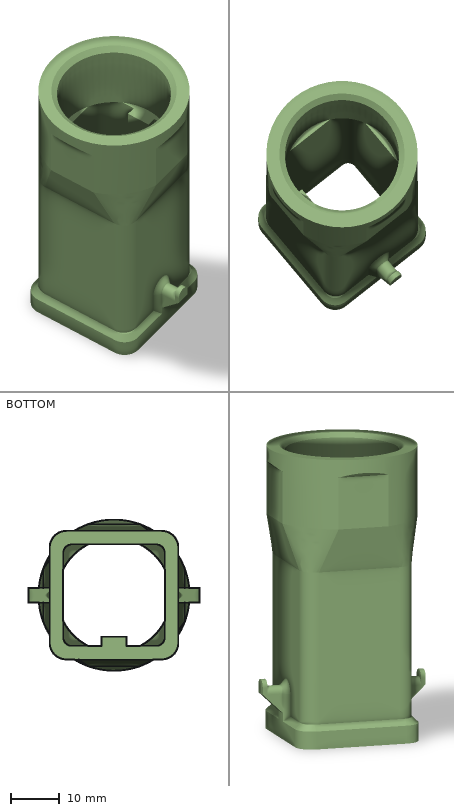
import cadquery as cq
import math

total_height = 60.5
collar_radius = 15.5
latch_span = 35.0

body_half = 12.0
body_corner_radius = 3.2
flange_half = 13.2
flange_corner_radius = 3.45
flange_height = 4.95
flange_chamfer = flange_half - body_half

body_top = 36.7
barrel_bottom = 46.0
flat_distance = 14.5
flat_top = 56.8
flat_lead_out_height = 0.85
flat_half_width = math.sqrt(collar_radius**2 - flat_distance**2)

bore_radius = 11.7
bore_mouth_radius = 12.8
bore_mouth_depth = 0.9
bore_bottom = 44.9
cavity_half = 10.4
cavity_corner_radius = 1.8
key_width = 5.15
key_inner_y = 8.5

peg_width = 3.0
peg_radius = peg_width / 2
peg_axis_height = 9.6
peg_tip = latch_span / 2
head_thickness = 1.0
head_axis_height = 11.1
gusset_foot_height = 5.5
pad_base_radius = peg_radius + flange_chamfer


def rounded_square(half, corner_radius, bottom, top):
    """Upright square prism with rounded vertical edges."""
    return (
        cq.Workplane("XY")
        .workplane(offset=bottom)
        .rect(2 * half, 2 * half)
        .extrude(top - bottom)
        .edges("|Z")
        .fillet(corner_radius)
    )


def flats_and_arcs(plane, side, flat_half, corner_reach):
    """Closed outline of four flats joined by arcs that bulge to corner_reach on the diagonals."""
    mid = corner_reach / math.sqrt(2)
    return (
        plane.moveTo(side, -flat_half)
        .lineTo(side, flat_half)
        .threePointArc((mid, mid), (flat_half, side))
        .lineTo(-flat_half, side)
        .threePointArc((-mid, mid), (-side, flat_half))
        .lineTo(-side, -flat_half)
        .threePointArc((-mid, -mid), (-flat_half, -side))
        .lineTo(flat_half, -side)
        .threePointArc((mid, -mid), (side, -flat_half))
        .close()
    )


def make_transition():
    """Ruled blend from the square body to the barrel with its flats."""
    body_flat_half = body_half - body_corner_radius
    body_corner_reach = body_flat_half * math.sqrt(2) + body_corner_radius
    lower_plane = cq.Workplane("XY").workplane(offset=body_top)
    lower = flats_and_arcs(lower_plane, body_half, body_flat_half, body_corner_reach)
    upper_plane = lower.workplane(offset=barrel_bottom - body_top)
    upper = flats_and_arcs(upper_plane, flat_distance, flat_half_width, collar_radius)
    return upper.loft(ruled=True)


def make_barrel():
    """Round barrel with a flat on each side that slopes out to the collar at its top."""
    barrel = (
        cq.Workplane("XY")
        .workplane(offset=barrel_bottom)
        .circle(collar_radius)
        .extrude(total_height - barrel_bottom)
    )
    flat_cutter = (
        cq.Workplane("XZ")
        .moveTo(flat_distance, barrel_bottom)
        .lineTo(flat_distance, flat_top)
        .lineTo(collar_radius, flat_top + flat_lead_out_height)
        .lineTo(collar_radius, barrel_bottom)
        .close()
        .extrude(collar_radius, both=True)
    )
    for angle in (0, 90, 180, 270):
        barrel = barrel.cut(flat_cutter.rotate((0, 0, 0), (0, 0, 1), angle))
    return barrel


def make_cavity():
    """Through cavity: round bore with a chamfered mouth above a square shaft with a key."""
    bore = (
        cq.Workplane("XZ")
        .moveTo(0, bore_bottom)
        .lineTo(bore_radius, bore_bottom)
        .lineTo(bore_radius, total_height - bore_mouth_depth)
        .lineTo(bore_mouth_radius, total_height)
        .lineTo(0, total_height)
        .close()
        .revolve(360, (0, 0), (0, 1))
    )
    shaft = rounded_square(cavity_half, cavity_corner_radius, 0, bore_bottom)
    key = cq.Workplane("XY").box(
        key_width, cavity_half - key_inner_y, bore_bottom, centered=(True, False, False)
    )
    return bore.union(shaft.cut(key.translate((0, key_inner_y, 0))))


def arch(x, radius, axis_height, foot_height):
    """Outline across X: straight sides rising from the foot to a half-round top."""
    return (
        cq.Workplane("YZ")
        .workplane(offset=x)
        .moveTo(-radius, foot_height)
        .lineTo(-radius, axis_height)
        .threePointArc((0, axis_height + radius), (radius, axis_height))
        .lineTo(radius, foot_height)
        .close()
    )


def make_latch():
    """Peg on the +X side: bevelled pad, round-topped arm, gusset below and raised head."""
    pad_outer = arch(flange_half, peg_radius, peg_axis_height, 0).wires().val()
    pad_base = arch(body_half, pad_base_radius, peg_axis_height, 0).wires().val()
    pad = cq.Workplane(cq.Solid.makeLoft([pad_base, pad_outer], True))

    arm = arch(cavity_half, peg_radius, peg_axis_height, 0).extrude(peg_tip - cavity_half)
    head_start = peg_tip - head_thickness
    head = arch(head_start, peg_radius, head_axis_height, peg_axis_height).extrude(head_thickness)
    below_gusset = (
        cq.Workplane("XZ")
        .moveTo(flange_half, 0)
        .lineTo(flange_half, gusset_foot_height)
        .lineTo(peg_tip, peg_axis_height)
        .lineTo(peg_tip, 0)
        .close()
        .extrude(peg_width, both=True)
    )
    return arm.cut(below_gusset).union(head).union(pad)


flange = rounded_square(flange_half, flange_corner_radius, 0, flange_height)
flange = flange.faces(">Z").edges().chamfer(flange_chamfer)
body = rounded_square(body_half, body_corner_radius, 0, body_top)
latch = make_latch()

shell = flange.union(body).union(make_transition()).union(make_barrel())
shell = shell.union(latch).union(latch.mirror("YZ"))
result = shell.cut(make_cavity())